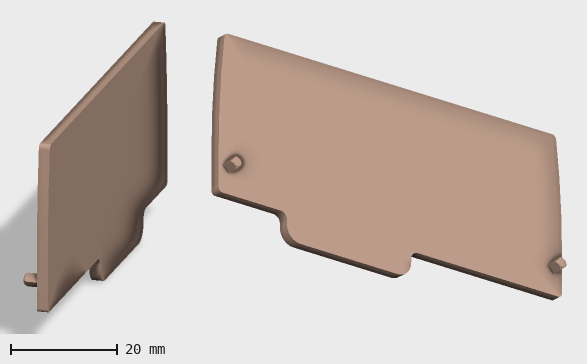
import cadquery as cq
import math

plate_width = 82.55
plate_height = 38.1
plate_thickness = 2.15
half_width = plate_width / 2

side_arc_radius = 183.3
side_arc_height = 23.4
top_corner_radius = 1.0
bottom_corner_radius = 0.8

tab_drop = 5.5
tab_left = 24.85
tab_right = -5.0
tab_corner_radius = 3.2
tab_root_radius = 1.6

pin_length = 3.0
pin_diagonal = 2.7
pin_tip_diameter = 1.65
pin_offset = 39.05
pin_height = 11.15


def arc_inset(height):
    """Inward shift of the side arc at a height above its tangent point."""
    return side_arc_radius - math.sqrt(side_arc_radius**2 - height**2)


def make_plate():
    arc_start = plate_height - side_arc_height
    arc_middle = arc_start + side_arc_height / 2
    middle_half_width = half_width - arc_inset(side_arc_height / 2)
    top_half_width = half_width - arc_inset(side_arc_height)
    plate = (
        cq.Workplane("YZ")
        .moveTo(-half_width, tab_drop)
        .lineTo(half_width, tab_drop)
        .lineTo(half_width, arc_start)
        .threePointArc((middle_half_width, arc_middle), (top_half_width, plate_height))
        .lineTo(-top_half_width, plate_height)
        .threePointArc((-middle_half_width, arc_middle), (-half_width, arc_start))
        .close()
        .extrude(plate_thickness)
    )
    plate = plate.edges("|X and >Z").fillet(top_corner_radius)
    return plate.edges("|X and <Z").fillet(bottom_corner_radius)


def add_tab(plate):
    tab_top = 2 * tab_drop
    tab = (
        cq.Workplane("YZ")
        .moveTo(tab_right, 0)
        .lineTo(tab_left, 0)
        .lineTo(tab_left, tab_top)
        .lineTo(tab_right, tab_top)
        .close()
        .extrude(plate_thickness)
        .edges("|X and <Z")
        .fillet(tab_corner_radius)
    )
    body = plate.union(tab).clean()
    root_selector = cq.selectors.BoxSelector(
        (0, tab_right - tab_root_radius, tab_drop - tab_root_radius),
        (plate_thickness, tab_left + tab_root_radius, tab_drop + tab_root_radius),
    )
    roots = body.edges("|X").edges(root_selector)
    return roots.fillet(tab_root_radius)


def make_pin(y):
    side = pin_diagonal / math.sqrt(2)
    tip_radius = pin_tip_diameter / 2
    corner_radius = pin_diagonal / 2
    cone_length = corner_radius - tip_radius
    base = cq.Workplane("YZ", origin=(0, y, pin_height))
    square = base.transformed(rotate=(0, 0, 45)).rect(side, side).extrude(-pin_length)
    envelope = base.circle(corner_radius).extrude(-pin_length)
    envelope = envelope.faces("<X").chamfer(cone_length)
    return square.intersect(envelope)


result = add_tab(make_plate())
for pin_y in (-pin_offset, pin_offset):
    result = result.union(make_pin(pin_y))

result = result.translate(((pin_length - plate_thickness) / 2, 0, 0))